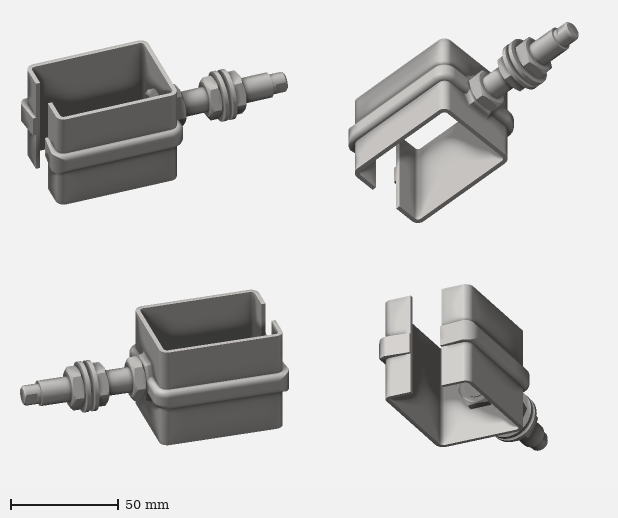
import cadquery as cq
import math

OVERALL_LENGTH = 123.8

HEXAGON_RATIO = math.cos(math.radians(30))

CHANNEL_WIDTH = 45.0
CHANNEL_DEPTH = 60.0
CHANNEL_HEIGHT = 50.0
SHEET = 2.1
CHANNEL_CORNER = 4.0
LIP_OPENING = 16.0

BAND_THICKNESS = 3.0
BAND_HEIGHT = 10.0
BAND_LIP_THICKNESS = 1.5
BAND_EDGE_X = 20.3
BAND_WIDTH = CHANNEL_WIDTH + 2 * BAND_THICKNESS
BAND_CORNER = CHANNEL_CORNER + BAND_THICKNESS

COLLAR_ACROSS_FLATS = 19.2
COLLAR_BLEND = BAND_THICKNESS / 2

ROD_DIAMETER = 12.0
NUT_ACROSS_FLATS = 18.0
NUT_THICKNESS = 6.0
NUT_FACE_DIAMETER = 16.8
NUT_CHAMFER_ANGLE = 30.0
NUT_RECESS = 1.6
RECESS_ACROSS_FLATS = 18.7
WASHER_DIAMETER = 24.0
WASHER_THICKNESS = 2.0
WASHER_GAP = 2.0
WASHER_STACK_Y = 29.0

ARC_CENTRE_X = BAND_WIDTH / 2 - BAND_CORNER
ARC_CENTRE_Y = -CHANNEL_DEPTH + CHANNEL_CORNER
BAND_FRONT_Y = ARC_CENTRE_Y - math.sqrt(BAND_CORNER**2 - (BAND_EDGE_X - ARC_CENTRE_X) ** 2)

ROD_REAR_Y = OVERALL_LENGTH + BAND_FRONT_Y
STUB_DIAMETER = 9.5
STUB_LENGTH = 7.9
STUB_CHAMFER = 0.9
FLATS_WIDTH = 8.0
FLATS_LENGTH = 6.1
ROD_PROTRUSION = 0.6
ROD_TIP_CONE = 0.4

INNER_NUT_Y = -SHEET + NUT_RECESS - NUT_THICKNESS
ROD_FRONT_Y = INNER_NUT_Y - ROD_PROTRUSION


def cylinder_y(diameter, y_start, length):
    return cq.Workplane("XZ", origin=(0, y_start + length, 0)).circle(diameter / 2).extrude(length)


def hexagon_y(across_flats, y_start, length):
    """Hexagonal prism along Y with corners on X and flats facing Z."""
    across_corners = across_flats / HEXAGON_RATIO
    return cq.Workplane("XZ", origin=(0, y_start + length, 0)).polygon(6, across_corners).extrude(length)


def channel_block(inset):
    """Rounded block filling the channel, shrunk by `inset` on its four sides."""
    return (
        cq.Workplane("XY")
        .center(0, -CHANNEL_DEPTH / 2)
        .rect(CHANNEL_WIDTH - 2 * inset, CHANNEL_DEPTH - 2 * inset)
        .extrude(CHANNEL_HEIGHT / 2, both=True)
        .edges("|Z")
        .fillet(CHANNEL_CORNER - inset)
    )


def band_block():
    """Solid block inside the band's outer face, with rounded rear and side edges."""
    half_width = BAND_WIDTH / 2
    lip_x = LIP_OPENING / 2
    lip_y = -CHANNEL_DEPTH - BAND_LIP_THICKNESS
    end_angle = math.acos((BAND_EDGE_X - ARC_CENTRE_X) / BAND_CORNER)
    mid_x = ARC_CENTRE_X + BAND_CORNER * math.cos(end_angle / 2)
    mid_y = ARC_CENTRE_Y - BAND_CORNER * math.sin(end_angle / 2)
    outline = (
        cq.Workplane("XY")
        .moveTo(-half_width, BAND_THICKNESS)
        .lineTo(-half_width, ARC_CENTRE_Y)
        .threePointArc((-mid_x, mid_y), (-BAND_EDGE_X, BAND_FRONT_Y))
        .lineTo(-lip_x, lip_y)
        .lineTo(lip_x, lip_y)
        .lineTo(BAND_EDGE_X, BAND_FRONT_Y)
        .threePointArc((mid_x, mid_y), (half_width, ARC_CENTRE_Y))
        .lineTo(half_width, BAND_THICKNESS)
        .close()
        .extrude(BAND_HEIGHT / 2, both=True)
    )
    envelope_length = BAND_THICKNESS - BAND_FRONT_Y + 2 * BAND_CORNER
    envelope = (
        cq.Workplane("XY")
        .center(0, BAND_THICKNESS - envelope_length / 2)
        .rect(BAND_WIDTH, envelope_length)
        .extrude(BAND_HEIGHT / 2, both=True)
        .edges("|Z")
        .fillet(BAND_CORNER)
        .faces("<Z or >Z")
        .edges()
        .fillet(BAND_THICKNESS)
    )
    return outline.intersect(envelope)


def collar():
    """Hexagonal collar whose six sides curve out of the web and over into the top."""
    blend = COLLAR_BLEND
    side = COLLAR_ACROSS_FLATS / 2
    base = side + blend
    top = side - blend
    arc_reach = blend * math.sqrt(0.5)
    profile = (
        cq.Workplane("YZ")
        .moveTo(-SHEET / 2, -base)
        .lineTo(0, -base)
        .threePointArc((blend - arc_reach, -base + arc_reach), (blend, -side))
        .threePointArc((blend + arc_reach, -top - arc_reach), (2 * blend, -top))
        .lineTo(2 * blend, top)
        .threePointArc((blend + arc_reach, top + arc_reach), (blend, side))
        .threePointArc((blend - arc_reach, base - arc_reach), (0, base))
        .lineTo(-SHEET / 2, base)
        .close()
        .extrude(COLLAR_ACROSS_FLATS, both=True)
    )
    hexagon = profile
    for angle in (60, 120):
        hexagon = hexagon.intersect(profile.rotate((0, 0, 0), (0, 1, 0), angle))
    return hexagon


def make_bracket():
    body = channel_block(0).union(band_block()).union(collar())
    opening_length = CHANNEL_DEPTH / 2 + BAND_THICKNESS
    opening = cq.Workplane("XY").box(LIP_OPENING, opening_length, CHANNEL_HEIGHT).translate(
        (0, -CHANNEL_DEPTH / 2 - opening_length / 2, 0)
    )
    recess = hexagon_y(RECESS_ACROSS_FLATS, INNER_NUT_Y, NUT_THICKNESS)
    rod_hole = cylinder_y(ROD_DIAMETER, -CHANNEL_DEPTH / 2, CHANNEL_DEPTH)
    return body.cut(channel_block(SHEET)).cut(opening).cut(recess).cut(rod_hole)


def make_rod():
    rod_radius = ROD_DIAMETER / 2
    stub_radius = STUB_DIAMETER / 2
    shoulder_y = ROD_REAR_Y - STUB_LENGTH
    rod = (
        cq.Workplane("XY")
        .moveTo(0, ROD_FRONT_Y - ROD_TIP_CONE)
        .lineTo(rod_radius, ROD_FRONT_Y)
        .lineTo(rod_radius, shoulder_y)
        .lineTo(stub_radius, shoulder_y)
        .lineTo(stub_radius, ROD_REAR_Y - STUB_CHAMFER)
        .lineTo(stub_radius - STUB_CHAMFER, ROD_REAR_Y)
        .lineTo(0, ROD_REAR_Y)
        .close()
        .revolve(360, (0, 0, 0), (0, 1, 0))
    )
    for side in (-1, 1):
        flat = cq.Workplane("XY").box(STUB_DIAMETER, FLATS_LENGTH, STUB_DIAMETER).translate(
            (side * (FLATS_WIDTH + STUB_DIAMETER) / 2, ROD_REAR_Y - FLATS_LENGTH / 2, 0)
        )
        rod = rod.cut(flat)
    return rod


def make_nut(y_start):
    """Hexagon nut with both ends chamfered down to a round face."""
    y_end = y_start + NUT_THICKNESS
    face_radius = NUT_FACE_DIAMETER / 2
    corner_radius = NUT_ACROSS_FLATS / HEXAGON_RATIO / 2
    drop = (corner_radius - face_radius) * math.tan(math.radians(NUT_CHAMFER_ANGLE))
    turned = (
        cq.Workplane("XY")
        .moveTo(0, y_start)
        .lineTo(face_radius, y_start)
        .lineTo(corner_radius, y_start + drop)
        .lineTo(corner_radius, y_end - drop)
        .lineTo(face_radius, y_end)
        .lineTo(0, y_end)
        .close()
        .revolve(360, (0, 0, 0), (0, 1, 0))
    )
    blank = hexagon_y(NUT_ACROSS_FLATS, y_start, NUT_THICKNESS).intersect(turned)
    return blank.cut(cylinder_y(ROD_DIAMETER, y_start, NUT_THICKNESS))


def make_washer(y_start):
    disc = cylinder_y(WASHER_DIAMETER, y_start, WASHER_THICKNESS)
    return disc.cut(cylinder_y(ROD_DIAMETER, y_start, WASHER_THICKNESS))


washer_starts = [WASHER_STACK_Y - WASHER_THICKNESS, WASHER_STACK_Y + WASHER_GAP]
nut_starts = [
    INNER_NUT_Y,
    BAND_THICKNESS,
    washer_starts[0] - NUT_THICKNESS,
    washer_starts[1] + WASHER_THICKNESS,
]

bracket = make_bracket()
rod = make_rod()
nuts = [make_nut(y) for y in nut_starts]
washers = [make_washer(y) for y in washer_starts]

result = cq.Compound.makeCompound(
    [bracket.val(), rod.val(), *[nut.val() for nut in nuts], *[washer.val() for washer in washers]]
)